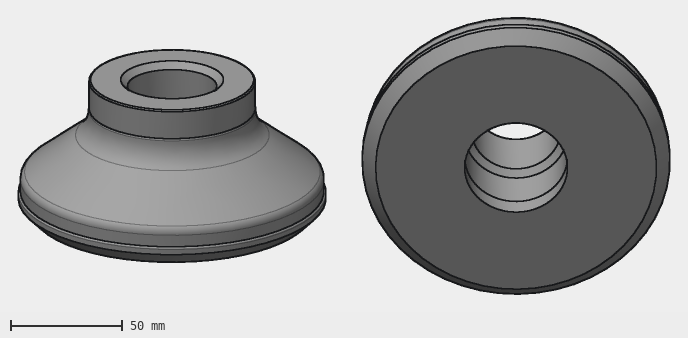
import cadquery as cq
import math

total_height = 63.0
pad_diameter = 137.7

pad_height = 9.5
pad_bottom_chamfer = 6.0
pad_shoulder_radius = 0.8

rim_diameter = 136.0
rim_top_z = 15.2
rim_round_radius = 4.7
neck_diameter = 74.9
neck_bottom_z = 48.5
neck_round_radius = 15.2
collar_diameter = 74.4
collar_bottom_z = 49.3
collar_top_chamfer = 0.7

bore_diameter = 40.0
countersink_diameter = 46.0
countersink_depth = (countersink_diameter - bore_diameter) / 2
bore_bottom_z = 33.5
clearance_top_z = bore_bottom_z - countersink_depth

rim_radius = rim_diameter / 2
neck_radius = neck_diameter / 2
collar_radius = collar_diameter / 2
bore_radius = bore_diameter / 2
countersink_radius = countersink_diameter / 2

rim_center = (rim_radius - rim_round_radius, rim_top_z)
neck_center = (neck_radius + neck_round_radius, neck_bottom_z)
center_dr = neck_center[0] - rim_center[0]
center_dz = neck_center[1] - rim_center[1]
center_distance = math.hypot(center_dr, center_dz)
center_angle = math.atan2(center_dz, center_dr)
flank_normal_angle = center_angle - math.acos((rim_round_radius + neck_round_radius) / center_distance)


def point_on_circle(center, radius, angle):
    return (center[0] + radius * math.cos(angle), center[1] + radius * math.sin(angle))


def make_housing():
    """Revolve the bell profile, including its stepped bore, about Z."""
    rim_arc_middle = point_on_circle(rim_center, rim_round_radius, flank_normal_angle / 2)
    rim_arc_end = point_on_circle(rim_center, rim_round_radius, flank_normal_angle)
    neck_arc_start = point_on_circle(neck_center, -neck_round_radius, flank_normal_angle)
    neck_arc_middle = point_on_circle(neck_center, -neck_round_radius, flank_normal_angle / 2)
    return (
        cq.Workplane("XZ")
        .moveTo(countersink_radius, pad_height)
        .lineTo(rim_radius, pad_height)
        .lineTo(rim_radius, rim_top_z)
        .threePointArc(rim_arc_middle, rim_arc_end)
        .lineTo(*neck_arc_start)
        .threePointArc(neck_arc_middle, (neck_radius, neck_bottom_z))
        .lineTo(collar_radius, collar_bottom_z)
        .lineTo(collar_radius, total_height - collar_top_chamfer)
        .lineTo(collar_radius - collar_top_chamfer, total_height)
        .lineTo(countersink_radius, total_height)
        .lineTo(bore_radius, total_height - countersink_depth)
        .lineTo(bore_radius, bore_bottom_z)
        .lineTo(countersink_radius, clearance_top_z)
        .close()
        .revolve(360, (0, 0, 0), (0, 1, 0))
    )


def make_pad():
    """Flat ring with a rounded top shoulder and a bevelled bottom edge."""
    disc = cq.Workplane("XY").circle(pad_diameter / 2).extrude(pad_height)
    disc = disc.faces(">Z").edges().fillet(pad_shoulder_radius)
    disc = disc.faces("<Z").edges().chamfer(pad_bottom_chamfer)
    clearance_hole = cq.Workplane("XY").circle(countersink_radius).extrude(pad_height)
    return disc.cut(clearance_hole)


housing = make_housing()
pad = make_pad()
result = cq.Compound.makeCompound([housing.val(), pad.val()])